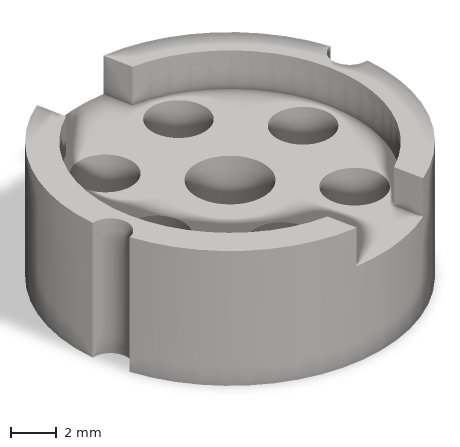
import cadquery as cq

outer_diameter = 18.0
height = 7.0

recess_diameter = 15.0
recess_depth = 2.0
rim_slot_width = 5.0
floor_height = height - recess_depth

center_hole_diameter = 4.0
ring_hole_diameter = 3.1
ring_hole_count = 6
ring_radius = 5.5
ring_start_angle = 90.0

groove_diameter = 2.0
groove_center_offset = outer_diameter / 2


def make_body():
    """Plain disc standing on the XY plane."""
    return cq.Workplane("XY").circle(outer_diameter / 2).extrude(height)


def make_recess():
    """Round pocket that leaves a raised rim."""
    return (
        cq.Workplane("XY")
        .workplane(offset=floor_height)
        .circle(recess_diameter / 2)
        .extrude(recess_depth)
    )


def make_rim_slot():
    """Slot along X that splits the rim into two arcs."""
    return (
        cq.Workplane("XY")
        .workplane(offset=floor_height)
        .rect(outer_diameter, rim_slot_width)
        .extrude(recess_depth)
    )


def make_center_hole():
    """Through hole on the disc axis."""
    return cq.Workplane("XY").circle(center_hole_diameter / 2).extrude(height)


def make_ring_holes():
    """Evenly spaced through holes around the axis."""
    return (
        cq.Workplane("XY")
        .polarArray(ring_radius, ring_start_angle, 360, ring_hole_count)
        .circle(ring_hole_diameter / 2)
        .extrude(height)
    )


def make_side_grooves():
    """Full-height grooves centred on the outer wall."""
    return (
        cq.Workplane("XY")
        .pushPoints([(0, groove_center_offset), (0, -groove_center_offset)])
        .circle(groove_diameter / 2)
        .extrude(height)
    )


result = (
    make_body()
    .cut(make_recess())
    .cut(make_rim_slot())
    .cut(make_center_hole())
    .cut(make_ring_holes())
    .cut(make_side_grooves())
)